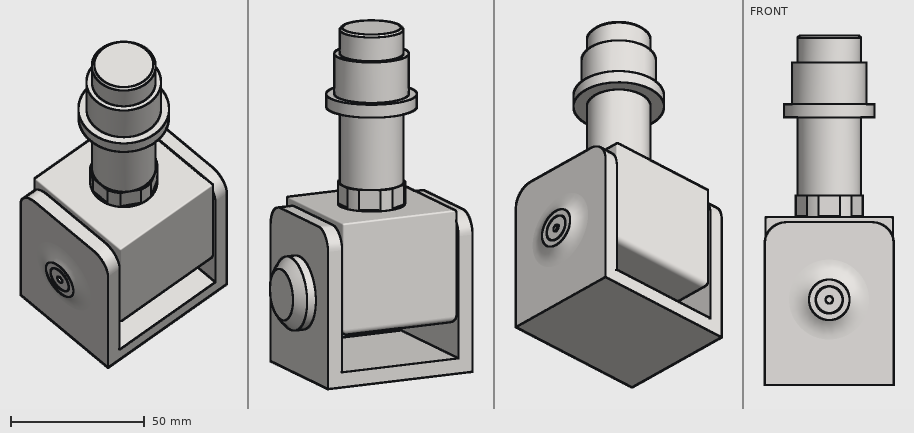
import cadquery as cq
import math

overall_depth = 70.3

bracket_width = 48.4
bracket_depth = 60.5
bracket_height = 61.0
bracket_wall = 5.9
cheek_corner_radius = 8.1
front_face_y = -bracket_depth / 2
back_face_y = bracket_depth / 2

flare_base_diameter = 30.0
flare_tip_diameter = 15.2
flare_height = 2.4

pivot_height = 32.0

block_width = 47.9
block_depth = 47.5
block_top = 63.0
block_bottom = 19.5
block_height = block_top - block_bottom
block_edge_radius = 0.7
block_bottom_radius = 2.5

stem_top = 130.9
stem_diameter = 24.0
stem_top_chamfer = 0.9
nut_diameter = 25.3
nut_across_flats = stem_diameter
nut_top = 71.1
nut_rim_thickness = 0.4
collar_diameter = 34.0
collar_bottom = 100.3
collar_top = 105.2
sleeve_diameter = 28.0
sleeve_top = 120.8

shank_diameter = 14.0
shank_bore_diameter = 14.1
tail_diameter = 10.0
tail_bore_diameter = 10.2
head_diameter = 28.0
head_height = overall_depth - bracket_depth - flare_height
head_rim_height = 3.7
head_crown_diameter = 19.5
center_mark_diameter = 2.7
center_mark_depth = 1.3


def cylinder_along_y(diameter, start_y, end_y):
    """Cylinder on the pivot axis between two Y positions."""
    plane = cq.Workplane("XZ", origin=(0, start_y, pivot_height))
    return plane.circle(diameter / 2).extrude(start_y - end_y)


def cylinder_along_z(diameter, bottom_z, top_z):
    """Cylinder on the Z axis between two heights."""
    return cq.Workplane("XY").workplane(offset=bottom_z).circle(diameter / 2).extrude(top_z - bottom_z)


def revolve_on_pivot(profile):
    """Turn an (X, Y) half profile about Y and lift it to the pivot axis."""
    return profile.close().revolve(360, (0, 0), (0, 1)).translate((0, 0, pivot_height))


def make_flare():
    """Concave flare, tangent to the cheek face at its rim and flat at its tip."""
    base_radius = flare_base_diameter / 2
    tip_radius = flare_tip_diameter / 2
    tip_y = front_face_y - flare_height
    run = base_radius - tip_radius
    arc_radius = (run**2 + flare_height**2) / (2 * flare_height)
    half_sweep = math.asin(run / arc_radius) / 2
    arc_middle = (
        base_radius - arc_radius * math.sin(half_sweep),
        front_face_y - arc_radius * (1 - math.cos(half_sweep)),
    )
    profile = (
        cq.Workplane("XY")
        .moveTo(0, front_face_y)
        .lineTo(base_radius, front_face_y)
        .threePointArc(arc_middle, (tip_radius, tip_y))
        .lineTo(0, tip_y)
    )
    return revolve_on_pivot(profile)


def make_rivet():
    """Spherically crowned head at the back, thick shank, and thin tail flush with the flare tip."""
    shank_start = front_face_y + bracket_wall
    tail_end = front_face_y - flare_height
    head_radius = head_diameter / 2
    crown_radius = head_crown_diameter / 2
    rim_y = back_face_y + head_rim_height
    crown_y = back_face_y + head_height
    crown_rise = crown_y - rim_y
    center_to_rim = (head_radius**2 - crown_radius**2 - crown_rise**2) / (2 * crown_rise)
    sphere_radius = math.hypot(head_radius, center_to_rim)
    rim_angle = math.atan2(center_to_rim, head_radius)
    crown_angle = math.atan2(center_to_rim + crown_rise, crown_radius)
    middle_angle = (rim_angle + crown_angle) / 2
    arc_middle = (
        sphere_radius * math.cos(middle_angle),
        rim_y - center_to_rim + sphere_radius * math.sin(middle_angle),
    )
    head = revolve_on_pivot(
        cq.Workplane("XY")
        .moveTo(0, back_face_y)
        .lineTo(head_radius, back_face_y)
        .lineTo(head_radius, rim_y)
        .threePointArc(arc_middle, (crown_radius, crown_y))
        .lineTo(0, crown_y)
    )
    shank = cylinder_along_y(shank_diameter, shank_start, back_face_y)
    tail = cylinder_along_y(tail_diameter, tail_end, shank_start)
    center_mark = cylinder_along_y(center_mark_diameter, tail_end, tail_end + center_mark_depth)
    return head.union(shank).union(tail).cut(center_mark)


def make_bracket():
    """U bracket with rounded upper cheek corners and a flared boss, bored for the rivet."""
    body = cq.Workplane("XY").box(bracket_width, bracket_depth, bracket_height, centered=(True, True, False))
    body = body.edges("|Y and >Z").fillet(cheek_corner_radius)
    gap = (
        cq.Workplane("XY")
        .workplane(offset=bracket_wall)
        .rect(bracket_width, bracket_depth - 2 * bracket_wall)
        .extrude(bracket_height)
    )
    tail_bore = cylinder_along_y(tail_bore_diameter, front_face_y - flare_height, 0)
    shank_bore = cylinder_along_y(shank_bore_diameter, 0, back_face_y)
    return body.cut(gap).union(make_flare()).cut(tail_bore).cut(shank_bore)


def make_block():
    """Block with softened edges, a rounder underside, and a bore for the rivet shank."""
    body = (
        cq.Workplane("XY")
        .workplane(offset=block_bottom)
        .rect(block_width, block_depth)
        .extrude(block_height)
    )
    body = body.edges("|Z or >Z").fillet(block_edge_radius)
    body = body.faces("<Z").edges().fillet(block_bottom_radius)
    return body.cut(cylinder_along_y(shank_bore_diameter, -block_depth / 2, block_depth / 2))


def make_stem():
    """Stepped round stem with a collar, on a nut whose six flats stop above a round rim."""
    hexagon_corner_diameter = nut_across_flats / math.cos(math.pi / 6)
    rim_top = block_top + nut_rim_thickness
    flats = (
        cq.Workplane("XY")
        .workplane(offset=rim_top)
        .polygon(6, hexagon_corner_diameter)
        .extrude(nut_top - rim_top)
    )
    nut = cylinder_along_z(nut_diameter, rim_top, nut_top).intersect(flats)
    rim = cylinder_along_z(nut_diameter, block_top, rim_top)
    shaft = cylinder_along_z(stem_diameter, block_top, stem_top).faces(">Z").chamfer(stem_top_chamfer)
    collar = cylinder_along_z(collar_diameter, collar_bottom, collar_top)
    sleeve = cylinder_along_z(sleeve_diameter, collar_top, sleeve_top)
    return shaft.union(rim).union(nut).union(collar).union(sleeve)


rivet = make_rivet()
bracket = make_bracket()
block = make_block()
stem = make_stem()

result = cq.Compound.makeCompound([bracket.val(), block.val(), stem.val(), rivet.val()])